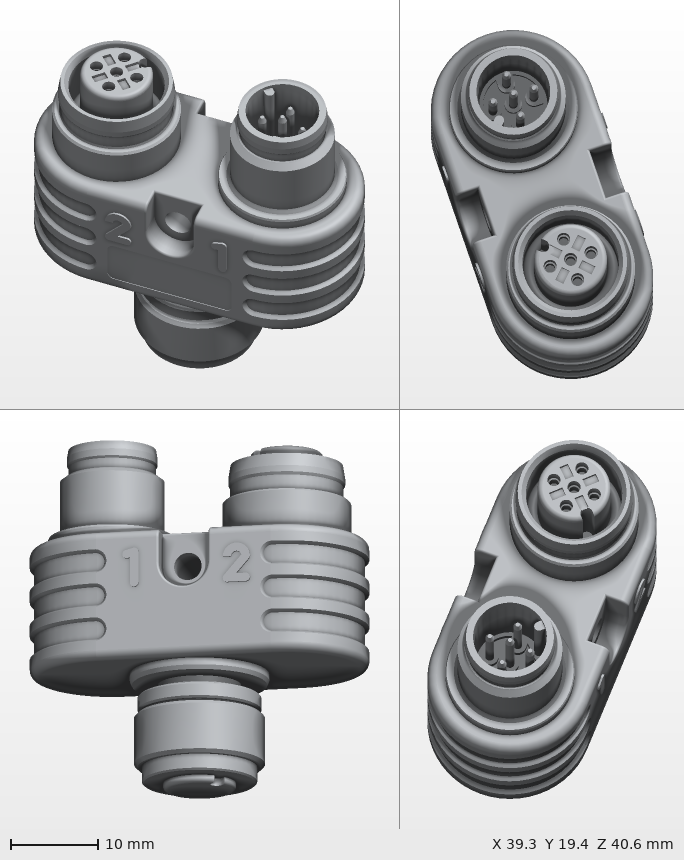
import cadquery as cq
import math


BODY_LENGTH = 39.3
BODY_DEPTH = 18.9
BODY_HEIGHT = 15.1
BODY_ROUND = 1.0
END_RADIUS = BODY_DEPTH / 2
AXIS_X = BODY_LENGTH / 2 - END_RADIUS
FACE_Y = BODY_DEPTH / 2

GROOVE_COUNT = 3
GROOVE_PITCH = 4.0
GROOVE_DEPTH = 0.5
GROOVE_MOUTH = 2.75
GROOVE_FLOOR = 2.1
GROOVE_END_SETBACK = 0.15

MOUNT_Z = 11.1
MOUNT_HOLE_DIAMETER = 3.2
RECESS_WIDTH = 5.75
RECESS_DEPTH = 2.7
RECESS_ROUND = 0.3

PANEL_LENGTH = 15.25
PANEL_HEIGHT = 5.4
PANEL_Z = 4.5
PANEL_CORNER = 0.8
PANEL_DEPTH = 0.1

MARK_HEIGHT = 0.25
MARK_STROKE = 0.97
MARK_TOP = 12.85
MARK_BOTTOM = 8.3
MARK_ONE_X = 6.15
MARK_TWO_X = -6.25
ONE_FLAG = 0.9
TWO_BOW_RADIUS = 1.1

EDGE = 0.25
ROOT = BODY_HEIGHT - BODY_ROUND
BASE_RADIUS = 7.4
INSERT_DIAMETER = 8.35
KEYWAY_WIDTH = 1.42
KEYWAY_RADIUS = 2.85
CONTACT_RADIUS = 2.48
OUTER_CONTACTS = [(CONTACT_RADIUS, 0), (0, CONTACT_RADIUS), (-CONTACT_RADIUS, 0), (0, -CONTACT_RADIUS)]
CONTACT_POINTS = [(0, 0)] + OUTER_CONTACTS
CROSS_ANGLES = [0, 90, 180, 270]
DIAGONAL_ANGLES = [45, 135, 225, 315]

FEMALE_FLOOR = 18.25
FEMALE_SLEEVE_TOP = 19.7
FEMALE_NECK_RADIUS = 6.5
FEMALE_NECK_TOP = 21.48
FEMALE_COLLAR_RADIUS = 6.7
FEMALE_COLLAR_BOTTOM = 21.8
FEMALE_COLLAR_TOP = 22.55
FEMALE_RIM = 24.05
FEMALE_RIM_RADIUS = 6.45
FEMALE_MOUTH_RADIUS = 6.0
FEMALE_BORE_RADIUS = 5.52
FEMALE_BORE_TOP = 23.4
SEAL_OUTER_RADIUS = 5.5
FEMALE_TOP = 25.58
INSERT_ROUND = 0.55
SOCKET_DIAMETER = 1.15
SOCKET_MOUTH = 1.5
SOCKET_MOUTH_DEPTH = 1.2
SOCKET_DEPTH = 2.45
SLOT_START = 1.25
SLOT_END = 2.92
SLOT_WIDTH = 1.0
SLOT_DEPTH = 0.4
FEMALE_KEY_ANGLE = 45

MALE_FLOOR = 18.68
MALE_BASE_TOP = 16.4
MALE_BARREL_RADIUS = 6.0
MALE_BARREL_TOP = 23.1
MALE_BARREL_FLARE = 0.4
MALE_SHOULDER_RADIUS = 5.2
MALE_SHOULDER_TOP = 23.7
MALE_NECK_RADIUS = 5.0
MALE_NECK_TOP = 24.85
MALE_COLLAR_RADIUS = 5.2
MALE_COLLAR_TOP = 25.9
MALE_RIM_RADIUS = 5.05
MALE_TOP = 26.88
MALE_MOUTH_RADIUS = 4.22
MALE_BORE_RADIUS = 3.9
PIN_DIAMETER = 1.0
PIN_TIP_DIAMETER = 0.5
PIN_TAPER = 0.65
PIN_TOP = 24.9
CENTER_PIN_TOP = 25.9
KEY_WIDTH = 1.1
KEY_RADIUS = 3.1
KEY_ROOT_RADIUS = 4.45
KEY_SETBACK = 0.4
KEY_ANGLE = 135
KEY_ISLAND_START = 2.9
KEY_ISLAND_WIDTH = 3.25
FLOOR_RELIEF_RADIUS = 3.45
RELIEF_Z = MALE_FLOOR - 0.6
PIN_ROOT_Z = MALE_FLOOR - 0.8
PIN_ISLAND_DIAMETER = 2.0

FLANGE_RADIUS = 8.0
FLANGE_BOTTOM = -1.3
FLANGE_BEVEL = 0.5
COUPLING_NECK_RADIUS = 4.8
COLLAR_RADIUS = 7.1
COLLAR_TOP = -2.6
COLLAR_BOTTOM = -4.45
CAP_RADIUS = 5.75
CAP_FOOT_RADIUS = 5.93
CAP_TOP = -2.25
GROOVE_TOP_RADIUS = 6.58
GROOVE_BOTTOM_RADIUS = 6.35
NUT_RADIUS = 7.5
NUT_TOP = -4.8
NUT_BOTTOM = -11.0
NUT_BEVEL = 0.4
SKIRT_RADIUS = 6.6
SKIRT_BEVEL = 0.2
COUPLING_BOTTOM = -13.72
TIP_STEP_Z = -12.85
TIP_ROUND = 0.5


def turned(points):
    """Revolve a closed (radius, z) outline about the Z axis."""
    return cq.Workplane("XZ").polyline(points).close().revolve(360, (0, 0), (0, 1))


def rod(diameter, bottom, top, points=((0, 0),)):
    """Vertical round bars between two heights."""
    plane = cq.Workplane("XY", origin=(0, 0, bottom))
    return plane.pushPoints(points).circle(diameter / 2).extrude(top - bottom)


def radial_bar(width, start, end, bottom, top, angle):
    """Upright bar running outward from radius start to radius end."""
    bar = cq.Workplane("XY").box(end - start, width, top - bottom, centered=(False, True, False))
    return bar.translate((start, 0, bottom)).rotate((0, 0, 0), (0, 0, 1), angle)


def radial_key(width, start, end, bottom, top, angle):
    """Radial bar whose inner end is rounded and reaches in to radius start."""
    bar = radial_bar(width, start + width / 2, end, bottom, top, 0)
    nose = rod(width, bottom, top, [(start + width / 2, 0)])
    return bar.union(nose).rotate((0, 0, 0), (0, 0, 1), angle)


def body_block():
    block = cq.Workplane("XY").slot2D(BODY_LENGTH, BODY_DEPTH).extrude(BODY_HEIGHT)
    return block.faces("<Z or >Z").edges().fillet(BODY_ROUND)


def grip_groove(side, z):
    """Tapered groove round one body end, with conical ends on both flat faces."""
    floor_radius = END_RADIUS - GROOVE_DEPTH
    outline = [
        (floor_radius, -GROOVE_FLOOR / 2),
        (END_RADIUS, -GROOVE_MOUTH / 2),
        (END_RADIUS, GROOVE_MOUTH / 2),
        (floor_radius, GROOVE_FLOOR / 2),
    ]
    groove = cq.Workplane("XZ").polyline(outline).close().revolve(180, (0, 0), (0, 1))
    groove = groove.rotate((0, 0, 0), (0, 0, 1), -90 * side)
    for face in (-1, 1):
        end = cq.Solid.makeCone(
            GROOVE_MOUTH / 2, GROOVE_FLOOR / 2, GROOVE_DEPTH,
            cq.Vector(side * GROOVE_END_SETBACK, face * END_RADIUS, 0), cq.Vector(0, -face, 0),
        )
        groove = groove.union(cq.Workplane(end))
    return groove.translate((side * AXIS_X, 0, z))


def mount_recess():
    """U-shaped recess in the -Y face, open at the top."""
    half = RECESS_WIDTH / 2
    top = BODY_HEIGHT + half
    outline = (
        cq.Workplane("XZ", origin=(0, -FACE_Y + RECESS_DEPTH, 0))
        .moveTo(half, top)
        .lineTo(half, MOUNT_Z)
        .threePointArc((0, MOUNT_Z - half), (-half, MOUNT_Z))
        .lineTo(-half, top)
        .close()
    )
    return outline.extrude(RECESS_DEPTH)


def round_recess_mouths(body):
    """Round the rim that each recess leaves in the top and in the flat faces."""
    slack = 0.05
    half = RECESS_WIDTH / 2 + slack

    def on_rim(edge):
        center = edge.Center()
        in_recess = abs(center.x) < half and center.z > MOUNT_Z - half
        on_skin = center.z > BODY_HEIGHT - BODY_ROUND or abs(center.y) > FACE_Y - BODY_ROUND
        return in_recess and on_skin

    rim = [edge for edge in body.edges().vals() if on_rim(edge)]
    return body.newObject(rim).fillet(RECESS_ROUND)


def label_panel():
    panel = cq.Workplane("XZ", origin=(0, -FACE_Y + PANEL_DEPTH, PANEL_Z)).rect(PANEL_LENGTH, PANEL_HEIGHT)
    return panel.extrude(PANEL_DEPTH).edges("|Y").fillet(PANEL_CORNER)


def stroke(start, end):
    """Straight raised stroke with round ends on the -Y face."""
    run = end[0] - start[0]
    rise = end[1] - start[1]
    middle = ((start[0] + end[0]) / 2, 0, (start[1] + end[1]) / 2)
    length = math.hypot(run, rise) + MARK_STROKE
    bar = cq.Workplane("XZ").slot2D(length, MARK_STROKE, math.degrees(math.atan2(rise, run)))
    return bar.extrude(FACE_Y + MARK_HEIGHT).translate(middle)


def mark_one():
    top = MARK_TOP - MARK_STROKE / 2
    bottom = MARK_BOTTOM + MARK_STROKE / 2
    half = ONE_FLAG / 2
    return stroke((half, bottom), (half, top)).union(stroke((half, top), (-half, top - MARK_STROKE / 4)))


def mark_two():
    bow = TWO_BOW_RADIUS
    bow_z = MARK_TOP - MARK_STROKE / 2 - bow
    bottom = MARK_BOTTOM + MARK_STROKE / 2
    arch = (
        cq.Workplane("XZ", origin=(0, 0, bow_z))
        .circle(bow + MARK_STROKE / 2)
        .circle(bow - MARK_STROKE / 2)
        .extrude(FACE_Y + MARK_HEIGHT)
    )
    upper_half = cq.Workplane("XY").box(BODY_DEPTH, 2 * BODY_DEPTH, BODY_HEIGHT, centered=(True, True, False))
    arch = arch.intersect(upper_half.translate((0, 0, bow_z)))
    diagonal = stroke((bow, bow_z), (-bow, bottom))
    return arch.union(diagonal).union(stroke((-bow, bottom), (bow, bottom)))


def build_body():
    body = body_block()
    for row in range(GROOVE_COUNT):
        z = BODY_HEIGHT / 2 + (row - (GROOVE_COUNT - 1) / 2) * GROOVE_PITCH
        for side in (-1, 1):
            body = body.cut(grip_groove(side, z))
    for turn in (0, 180):
        body = body.cut(mount_recess().rotate((0, 0, 0), (0, 0, 1), turn))
    body = round_recess_mouths(body)
    for turn in (0, 180):
        for mark, x in ((mark_one(), MARK_ONE_X), (mark_two(), MARK_TWO_X)):
            body = body.union(mark.rotate((0, 0, 0), (0, 0, 1), turn).translate((x, 0, 0)))
    hole = cq.Workplane("XZ", origin=(0, 0, MOUNT_Z)).circle(MOUNT_HOLE_DIAMETER / 2)
    hole = hole.extrude(BODY_DEPTH, both=True)
    return body.cut(hole).cut(label_panel())


def female_connector():
    shell = turned([
        (0, ROOT),
        (BASE_RADIUS, ROOT),
        (BASE_RADIUS, FEMALE_SLEEVE_TOP - EDGE),
        (BASE_RADIUS - EDGE, FEMALE_SLEEVE_TOP),
        (FEMALE_NECK_RADIUS + EDGE / 2, FEMALE_SLEEVE_TOP),
        (FEMALE_NECK_RADIUS, FEMALE_SLEEVE_TOP + EDGE),
        (FEMALE_NECK_RADIUS, FEMALE_NECK_TOP),
        (FEMALE_COLLAR_RADIUS, FEMALE_COLLAR_BOTTOM),
        (FEMALE_COLLAR_RADIUS, FEMALE_COLLAR_TOP),
        (FEMALE_RIM_RADIUS, FEMALE_RIM),
        (FEMALE_MOUTH_RADIUS, FEMALE_RIM),
        (FEMALE_BORE_RADIUS, FEMALE_BORE_TOP),
        (SEAL_OUTER_RADIUS, FEMALE_FLOOR),
        (0, FEMALE_FLOOR),
    ])
    insert = rod(INSERT_DIAMETER, FEMALE_FLOOR, FEMALE_TOP).faces(">Z").edges().fillet(INSERT_ROUND)
    insert_radius = INSERT_DIAMETER / 2
    keyway_end = INSERT_DIAMETER
    seal_height = (SEAL_OUTER_RADIUS - insert_radius) / 2
    seal_crest = (insert_radius + seal_height, FEMALE_FLOOR + seal_height)
    seal = (
        cq.Workplane("XZ")
        .moveTo(insert_radius, FEMALE_FLOOR)
        .threePointArc(seal_crest, (SEAL_OUTER_RADIUS, FEMALE_FLOOR))
        .close()
        .revolve(360, (0, 0), (0, 1))
    )
    insert = insert.cut(rod(SOCKET_MOUTH, FEMALE_TOP - SOCKET_MOUTH_DEPTH, FEMALE_TOP, CONTACT_POINTS))
    insert = insert.cut(rod(SOCKET_DIAMETER, FEMALE_TOP - SOCKET_DEPTH, FEMALE_TOP, CONTACT_POINTS))
    slot_floor = FEMALE_TOP - SLOT_DEPTH
    for angle in DIAGONAL_ANGLES:
        insert = insert.cut(radial_bar(SLOT_WIDTH, SLOT_START, SLOT_END, slot_floor, FEMALE_TOP, angle))
    keyway = radial_key(KEYWAY_WIDTH, KEYWAY_RADIUS, keyway_end, FEMALE_FLOOR, FEMALE_TOP, FEMALE_KEY_ANGLE)
    return shell.union(insert.cut(keyway)).union(seal)


def contact_pin(top):
    return turned([
        (0, PIN_ROOT_Z),
        (PIN_DIAMETER / 2, PIN_ROOT_Z),
        (PIN_DIAMETER / 2, top - PIN_TAPER),
        (PIN_TIP_DIAMETER / 2, top),
        (0, top),
    ])


def male_connector():
    shell = turned([
        (0, ROOT),
        (BASE_RADIUS, ROOT),
        (BASE_RADIUS, MALE_BASE_TOP - EDGE),
        (BASE_RADIUS - EDGE / 2, MALE_BASE_TOP),
        (MALE_BARREL_RADIUS + MALE_BARREL_FLARE, MALE_BASE_TOP),
        (MALE_BARREL_RADIUS, MALE_BASE_TOP + MALE_BARREL_FLARE),
        (MALE_BARREL_RADIUS, MALE_BARREL_TOP),
        (MALE_SHOULDER_RADIUS, MALE_SHOULDER_TOP),
        (MALE_NECK_RADIUS, MALE_SHOULDER_TOP),
        (MALE_NECK_RADIUS, MALE_NECK_TOP),
        (MALE_COLLAR_RADIUS, MALE_NECK_TOP + EDGE),
        (MALE_COLLAR_RADIUS, MALE_COLLAR_TOP),
        (MALE_RIM_RADIUS, MALE_TOP),
        (MALE_MOUTH_RADIUS, MALE_TOP),
        (MALE_BORE_RADIUS, MALE_FLOOR),
        (0, MALE_FLOOR),
    ])
    relief = rod(2 * FLOOR_RELIEF_RADIUS, RELIEF_Z, MALE_FLOOR)
    islands = rod(PIN_ISLAND_DIAMETER, RELIEF_Z, MALE_FLOOR, CONTACT_POINTS)
    for angle in CROSS_ANGLES:
        lobe = radial_bar(PIN_ISLAND_DIAMETER, CONTACT_RADIUS, MALE_BORE_RADIUS, RELIEF_Z, MALE_FLOOR, angle)
        islands = islands.union(lobe)
    key_island = radial_bar(KEY_ISLAND_WIDTH, KEY_ISLAND_START, MALE_BORE_RADIUS, RELIEF_Z, MALE_FLOOR, KEY_ANGLE)
    islands = islands.union(key_island)
    connector = shell.cut(relief.cut(islands))
    key = radial_key(KEY_WIDTH, KEY_RADIUS, KEY_ROOT_RADIUS, PIN_ROOT_Z, MALE_TOP - KEY_SETBACK, KEY_ANGLE)
    connector = connector.union(key)
    connector = connector.union(contact_pin(CENTER_PIN_TOP))
    for x, y in OUTER_CONTACTS:
        connector = connector.union(contact_pin(PIN_TOP).translate((x, y, 0)))
    return connector


def bottom_coupling():
    coupling = turned([
        (0, BODY_ROUND),
        (FLANGE_RADIUS, BODY_ROUND),
        (FLANGE_RADIUS, FLANGE_BOTTOM + FLANGE_BEVEL),
        (FLANGE_RADIUS - EDGE, FLANGE_BOTTOM),
        (COUPLING_NECK_RADIUS, FLANGE_BOTTOM),
        (COUPLING_NECK_RADIUS, CAP_TOP),
        (CAP_RADIUS, CAP_TOP),
        (CAP_FOOT_RADIUS, COLLAR_TOP),
        (COLLAR_RADIUS - EDGE, COLLAR_TOP),
        (COLLAR_RADIUS, COLLAR_TOP - EDGE),
        (COLLAR_RADIUS, COLLAR_BOTTOM + EDGE),
        (COLLAR_RADIUS - EDGE, COLLAR_BOTTOM),
        (GROOVE_TOP_RADIUS, COLLAR_BOTTOM),
        (GROOVE_BOTTOM_RADIUS, NUT_TOP),
        (NUT_RADIUS - NUT_BEVEL, NUT_TOP),
        (NUT_RADIUS, NUT_TOP - NUT_BEVEL),
        (NUT_RADIUS, NUT_BOTTOM + NUT_BEVEL),
        (NUT_RADIUS - NUT_BEVEL, NUT_BOTTOM),
        (SKIRT_RADIUS, NUT_BOTTOM),
        (SKIRT_RADIUS, TIP_STEP_Z + SKIRT_BEVEL),
        (SKIRT_RADIUS - SKIRT_BEVEL, TIP_STEP_Z),
        (0, TIP_STEP_Z),
    ])
    tip = rod(INSERT_DIAMETER, COUPLING_BOTTOM, TIP_STEP_Z).faces("<Z").edges().fillet(TIP_ROUND)
    keyway = radial_key(KEYWAY_WIDTH, KEYWAY_RADIUS, INSERT_DIAMETER, COUPLING_BOTTOM, TIP_STEP_Z, KEY_ANGLE)
    return coupling.union(tip.cut(keyway))


result = (
    build_body()
    .union(female_connector().translate((-AXIS_X, 0, 0)))
    .union(male_connector().translate((AXIS_X, 0, 0)))
    .union(bottom_coupling())
)